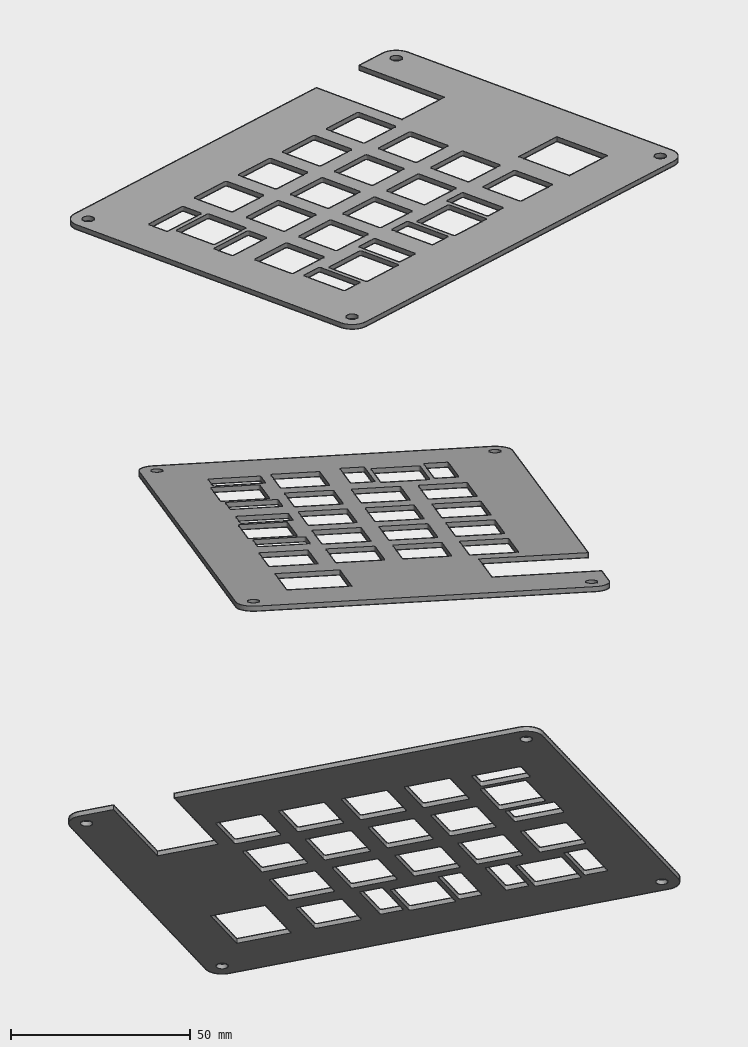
import cadquery as cq

PLATE_WIDTH = 106.34
PLATE_LENGTH = 143.4
PLATE_THICKNESS = 1.5
CORNER_RADIUS = 5.0

MOUNT_HOLE_DIAMETER = 3.4
MOUNT_HOLE_SPACING_X = PLATE_WIDTH - 2 * CORNER_RADIUS
MOUNT_HOLE_SPACING_Y = PLATE_LENGTH - 2 * CORNER_RADIUS

KEY_PITCH = 19.05
KEY_SIZE = 14.0
KEY_CORNER_RADIUS = 0.5
FIRST_KEY_X = -27.22
FIRST_KEY_Y = 26.58
BLOCK_COLUMNS = 3
BLOCK_ROWS = 4
BLOCK_KEYS = [(column, row) for row in range(BLOCK_ROWS) for column in range(BLOCK_COLUMNS)]
OUTER_KEYS = [(3, 0), (2, 4)]
TALL_KEYS = [(3, 1.5), (3, 3.5)]
WIDE_KEYS = [(0.5, 4)]

STABILIZER_WIDTH = 7.0
STABILIZER_LENGTH = 15.0
STABILIZER_CORNER_RADIUS = 0.5
STABILIZER_SPACING = 23.88
STABILIZER_OFFSET = 1.5

WINDOW_WIDTH = 18.5
WINDOW_HEIGHT = 16.5
WINDOW_X = 27.5
WINDOW_Y = 49.15

NOTCH_DEPTH = 31.25
NOTCH_HEIGHT = 18.4
NOTCH_TOP_MARGIN = 15.3


def key_center(column, row):
    return (FIRST_KEY_X + column * KEY_PITCH, FIRST_KEY_Y - row * KEY_PITCH)


def rectangular_cutter(width, height, centers):
    """Square-cornered prisms through the plate thickness at the given centers."""
    return cq.Workplane("XY").pushPoints(centers).rect(width, height).extrude(PLATE_THICKNESS)


def rounded_cutter(width, height, radius, centers):
    """Prisms with rounded upright corners at the given centers."""
    return rectangular_cutter(width, height, centers).edges("|Z").fillet(radius)


def make_plate():
    return (
        cq.Workplane("XY")
        .rect(PLATE_WIDTH, PLATE_LENGTH)
        .extrude(PLATE_THICKNESS)
        .edges("|Z")
        .fillet(CORNER_RADIUS)
    )


def mount_hole_cutter():
    return (
        cq.Workplane("XY")
        .rect(MOUNT_HOLE_SPACING_X, MOUNT_HOLE_SPACING_Y, forConstruction=True)
        .vertices()
        .circle(MOUNT_HOLE_DIAMETER / 2)
        .extrude(PLATE_THICKNESS)
    )


def key_cutter():
    keys = BLOCK_KEYS + OUTER_KEYS + TALL_KEYS + WIDE_KEYS
    centers = [key_center(column, row) for column, row in keys]
    return rounded_cutter(KEY_SIZE, KEY_SIZE, KEY_CORNER_RADIUS, centers)


def tall_key_stabilizer_cutter():
    """Slots above and below each tall key, shifted to its left."""
    centers = []
    for column, row in TALL_KEYS:
        x, y = key_center(column, row)
        for side in (-1, 1):
            centers.append((x - STABILIZER_OFFSET, y + side * STABILIZER_SPACING / 2))
    return rounded_cutter(STABILIZER_LENGTH, STABILIZER_WIDTH, STABILIZER_CORNER_RADIUS, centers)


def wide_key_stabilizer_cutter():
    """Slots left and right of each wide key, shifted below its center."""
    centers = []
    for column, row in WIDE_KEYS:
        x, y = key_center(column, row)
        for side in (-1, 1):
            centers.append((x + side * STABILIZER_SPACING / 2, y - STABILIZER_OFFSET))
    return rounded_cutter(STABILIZER_WIDTH, STABILIZER_LENGTH, STABILIZER_CORNER_RADIUS, centers)


def window_cutter():
    return rectangular_cutter(WINDOW_WIDTH, WINDOW_HEIGHT, [(WINDOW_X, WINDOW_Y)])


def notch_cutter():
    x = -PLATE_WIDTH / 2 + NOTCH_DEPTH / 2
    y = PLATE_LENGTH / 2 - NOTCH_TOP_MARGIN - NOTCH_HEIGHT / 2
    return rectangular_cutter(NOTCH_DEPTH, NOTCH_HEIGHT, [(x, y)])


result = (
    make_plate()
    .cut(mount_hole_cutter())
    .cut(key_cutter())
    .cut(tall_key_stabilizer_cutter())
    .cut(wide_key_stabilizer_cutter())
    .cut(window_cutter())
    .cut(notch_cutter())
)